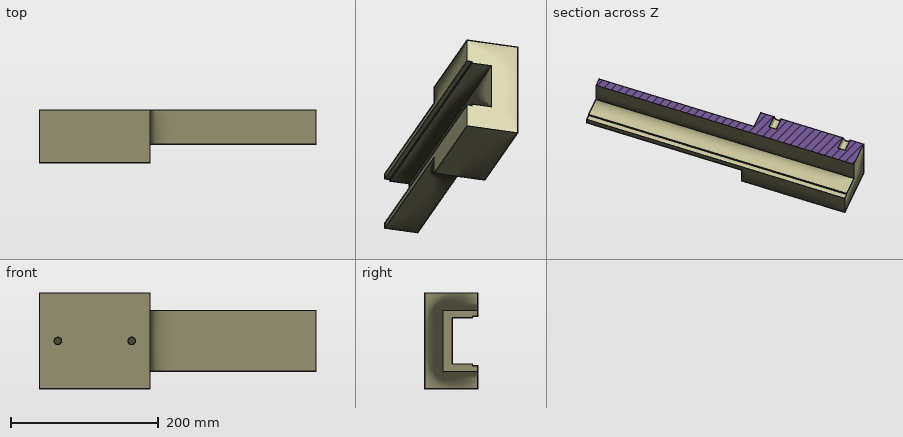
import cadquery as cq

total_length = 375.0
head_length = 150.0
head_depth = 72.0
head_height = 130.0
bar_depth = 47.0
bar_height = 82.5

channel_height = 62.2
channel_depth = 34.5
mouth_height = 66.8
mouth_depth = 7.0

hole_diameter = 10.0
hole_spacing = 100.0
hole_depth = 18.8

back_y = head_depth


def block_from_back(length, depth, height):
    """Block starting at X = 0, flush with the back face and centred on Z = 0."""
    return (
        cq.Workplane("XY")
        .box(length, depth, height, centered=(False, False, True))
        .translate((0, back_y - depth, 0))
    )


head = block_from_back(head_length, head_depth, head_height)
bar = block_from_back(total_length, bar_depth, bar_height)
body = head.union(bar)

channel = block_from_back(total_length, channel_depth, channel_height)
mouth = block_from_back(total_length, mouth_depth, mouth_height)
body = body.cut(channel).cut(mouth)

holes = (
    cq.Workplane("XZ")
    .center(head_length / 2, 0)
    .rarray(hole_spacing, 3.8, 2, 1)
    .circle(hole_diameter / 2)
    .extrude(-hole_depth)
)
result = body.cut(holes)